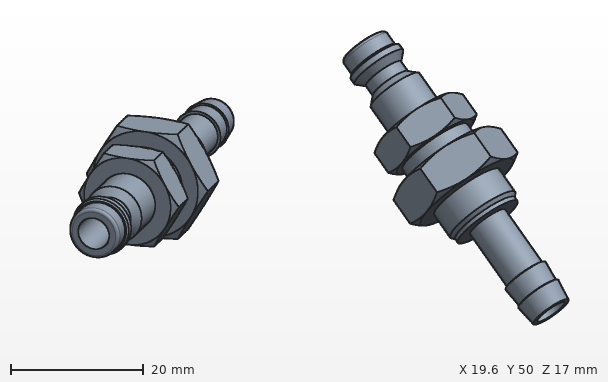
import cadquery as cq
import math

LENGTH = 50.0
BORE_RADIUS = 2.5

TIP_RADIUS = 4.0
TIP_ROUND = 0.5
PLUG_RADIUS = 4.5
NECK_RADIUS = 3.25
COLLAR_START = 2.7
COLLAR_CHAMFER = 0.3
COLLAR_CONE_START = 4.0
NECK_START = 5.25
NECK_END = 7.1
SHANK_START = 8.35

BODY_HEX_START = 14.0
BODY_HEX_END = 19.0
BODY_HEX_FLATS = 14.0
NUT_START = 21.5
NUT_END = 27.5
NUT_FLATS = 17.0
HEX_CHAMFER_ANGLE = math.radians(30)

THREAD_RADIUS = 6.0
THREAD_END_RADIUS = 5.5
THREAD_CONE_START = 31.75
THREAD_CONE_END = 32.4
THREAD_END = 33.1

TAIL_RADIUS = 3.25
BARB_RADIUS = 3.7
BARB_ROOT_RADIUS = 3.4
FIRST_BARB = 43.25
SECOND_BARB = 46.65


def revolve_about_y(points):
    """Revolve a closed (radius, Y) profile about the Y axis."""
    return cq.Workplane("XY").polyline(points).close().revolve(360, (0, 0, 0), (0, 1, 0))


def cylinder(radius, start, end):
    """Cylinder along Y between two stations."""
    return cq.Workplane("XZ", origin=(0, start, 0)).circle(radius).extrude(start - end)


def chamfered_hexagon(flats, start, end):
    """Hexagon along Y, with corners on +/-X and both ends turned conically."""
    flat_radius = flats / 2
    corner_radius = flat_radius / math.cos(math.pi / 6)
    chamfer = (corner_radius - flat_radius) * math.tan(HEX_CHAMFER_ANGLE)
    prism = cq.Workplane("XZ", origin=(0, start, 0)).polygon(6, 2 * corner_radius).extrude(start - end)
    turned_envelope = revolve_about_y([
        (0, start),
        (flat_radius, start),
        (corner_radius, start + chamfer),
        (corner_radius, end - chamfer),
        (flat_radius, end),
        (0, end),
    ])
    return prism.intersect(turned_envelope)


def make_plug_end():
    """Rounded tip, latching collar, neck and shank."""
    tip = cylinder(TIP_RADIUS, 0, COLLAR_START).faces("<Y").edges().fillet(TIP_ROUND)
    shank = revolve_about_y([
        (0, COLLAR_START),
        (PLUG_RADIUS - COLLAR_CHAMFER, COLLAR_START),
        (PLUG_RADIUS, COLLAR_START + COLLAR_CHAMFER),
        (PLUG_RADIUS, COLLAR_CONE_START),
        (NECK_RADIUS, NECK_START),
        (NECK_RADIUS, NECK_END),
        (PLUG_RADIUS, SHANK_START),
        (PLUG_RADIUS, BODY_HEX_START),
        (0, BODY_HEX_START),
    ])
    return tip.union(shank)


def make_barrel_and_tail():
    """Threaded barrel with a reduced end, then the double-barbed hose tail."""
    return revolve_about_y([
        (0, BODY_HEX_END),
        (THREAD_RADIUS, BODY_HEX_END),
        (THREAD_RADIUS, THREAD_CONE_START),
        (THREAD_END_RADIUS, THREAD_CONE_END),
        (THREAD_END_RADIUS, THREAD_END),
        (TAIL_RADIUS, THREAD_END),
        (TAIL_RADIUS, FIRST_BARB),
        (BARB_RADIUS, FIRST_BARB),
        (BARB_ROOT_RADIUS, SECOND_BARB),
        (BARB_RADIUS, SECOND_BARB),
        (TAIL_RADIUS, LENGTH),
        (0, LENGTH),
    ])


def make_fitting():
    """One-piece fitting with a bore right through it."""
    body_hex = chamfered_hexagon(BODY_HEX_FLATS, BODY_HEX_START, BODY_HEX_END)
    fitting = make_plug_end().union(body_hex).union(make_barrel_and_tail())
    return fitting.cut(cylinder(BORE_RADIUS, 0, LENGTH))


def make_lock_nut():
    """Hexagon nut that fits closely around the threaded barrel."""
    nut = chamfered_hexagon(NUT_FLATS, NUT_START, NUT_END)
    return nut.cut(cylinder(THREAD_RADIUS, NUT_START, NUT_END))


fitting = make_fitting()
lock_nut = make_lock_nut()
result = cq.Compound.makeCompound([fitting.solids().val(), lock_nut.solids().val()])